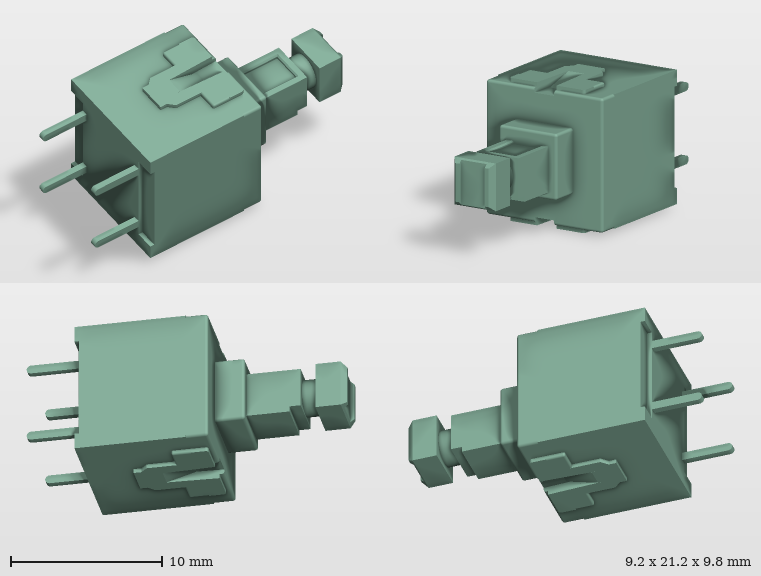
import cadquery as cq
import math


body_size = 9.2
body_half = body_size / 2
seam_y = 7.52
cover_front_y = 9.0
collar_front_y = 11.0
collar_size = 4.55
edge_radius = 0.2

recess_inner_x = 3.23
recess_height = 6.99
recess_depth = 0.32

latch_thickness = 0.3
latch_top_z = body_half + latch_thickness
latch_front_y = 8.69
arm_half_width = 2.97
tongue_half_width = 1.5
tip_half_width = 1.06
taper_start_y = 4.23
taper_end_y = taper_start_y - (tongue_half_width - tip_half_width)
tongue_end_y = 3.27
slot_front_half_width = 0.79
slot_end_half_width = 0.62
slot_end_y = 4.86
slot_depth = 0.64
slot_floor_z = latch_top_z - slot_depth

ramp_start_y = 7.35
ramp_end_y = 5.15
pad_end_y = 6.2
pad_radius = 0.13

shaft_width = 3.27
shaft_height = 2.76
shaft_front_y = 14.65
lug_bottom_z = -1.76
lug_front_y = 13.9
neck_diameter = 2.49
head_rear_y = 15.65
head_front_y = 17.74
bevel_length = 0.38
bevel_inset = 0.32
head_slot_width = 2.0
head_slot_depth = 0.25
pocket_width = 2.2
pocket_front_y = 14.15
pocket_depth = 0.25
pocket_chamfer = 0.1

pin_length = 3.5
pin_width = 0.45
pin_height = 0.6
pin_x = recess_inner_x - pin_width / 2
pin_z = 2.5


def block(x_range, y_range, z_range):
    """Box between the given limits along X, Y and Z."""
    low, high = zip(x_range, y_range, z_range)
    size = [b - a for a, b in zip(low, high)]
    return cq.Workplane("XY").box(*size, centered=False).translate(low)


def square_block(size, y_start, y_end):
    """Box with a square section, centred on the push axis."""
    half = size / 2
    return block((-half, half), (y_start, y_end), (-half, half))


def on_both_sides(top_shape):
    """The given shape together with its copy mirrored to the underside."""
    return [top_shape, top_shape.mirror("XY")]


def make_latch_slot():
    """Slot that narrows toward the pins, through a latch plate into the cover and base."""
    outline = [
        (slot_front_half_width, cover_front_y),
        (slot_end_half_width, slot_end_y),
        (-slot_end_half_width, slot_end_y),
        (-slot_front_half_width, cover_front_y),
    ]
    slot = cq.Workplane("XY").workplane(offset=slot_floor_z).polyline(outline).close()
    return slot.extrude(slot_depth)


def make_tooth():
    """Ramp that rises from the slot floor to the outer face of the latch plate."""
    profile = [
        (ramp_start_y, slot_floor_z),
        (ramp_end_y, latch_top_z),
        (slot_end_y, latch_top_z),
        (slot_end_y, slot_floor_z),
    ]
    tooth = cq.Workplane("YZ").polyline(profile).close()
    return tooth.extrude(slot_end_half_width, both=True)


def make_pad(side):
    """Raised pad behind a latch arm; side is -1 or 1 along X."""
    inner_x = side * tongue_half_width
    outer_x = side * arm_half_width
    x_range = sorted((inner_x, outer_x))
    pad = block(x_range, (pad_end_y, seam_y), (body_half, latch_top_z))
    outer_face = ">X" if side > 0 else "<X"
    outer_corner = pad.faces(outer_face).edges("<Y")
    exposed_top = pad.faces(">Z").edges(f"<Y or {outer_face}")
    return pad.newObject(outer_corner.vals() + exposed_top.vals()).fillet(pad_radius)


def make_base():
    base = square_block(body_size, 0, seam_y)
    half_recess = recess_height / 2
    for side in (-1, 1):
        x_range = sorted((side * recess_inner_x, side * body_half))
        base = base.cut(block(x_range, (0, recess_depth), (-half_recess, half_recess)))
    for slot in on_both_sides(make_latch_slot()):
        base = base.cut(slot)
    for tooth in on_both_sides(make_tooth()):
        base = base.union(tooth)
    for side in (-1, 1):
        for pad in on_both_sides(make_pad(side)):
            base = base.union(pad)
    return base


def make_latch_plate():
    """Flat T-shaped plate with a tongue that reaches back over the base."""
    right_side = [
        (arm_half_width, latch_front_y),
        (arm_half_width, seam_y),
        (tongue_half_width, seam_y),
        (tongue_half_width, taper_start_y),
        (tip_half_width, taper_end_y),
        (tip_half_width, tongue_end_y),
    ]
    left_side = [(-x, y) for x, y in reversed(right_side)]
    outline = cq.Workplane("XY").workplane(offset=body_half).polyline(right_side + left_side).close()
    plate = outline.extrude(latch_thickness)
    return plate.faces(">Y").edges("|Z").fillet(edge_radius)


def make_shaft(y_start):
    """Square part of the plunger with the lug underneath."""
    half_width = shaft_width / 2
    half_height = shaft_height / 2
    shaft = block((-half_width, half_width), (y_start, shaft_front_y), (-half_height, half_height))
    lug = block((-half_width, half_width), (y_start, lug_front_y), (lug_bottom_z, -half_height))
    return shaft.union(lug)


def make_cover():
    plate = square_block(body_size, seam_y, cover_front_y)
    plate = plate.edges("|Y or >Y").fillet(edge_radius)
    collar = square_block(collar_size, cover_front_y, collar_front_y)
    collar = collar.edges("|Y or >Y").fillet(edge_radius)
    cover = plate.union(collar)
    for latch in on_both_sides(make_latch_plate()):
        cover = cover.union(latch)
    for slot in on_both_sides(make_latch_slot()):
        cover = cover.cut(slot)
    return cover.cut(make_shaft(seam_y))


def make_head():
    """Button head with four bevelled sides and a slot across its front."""
    bevel_start_y = head_front_y - bevel_length
    head = square_block(shaft_width, head_rear_y, bevel_start_y)
    bevel_plane = cq.Plane(origin=(0, bevel_start_y, 0), xDir=(1, 0, 0), normal=(0, 1, 0))
    bevel_angle = math.degrees(math.atan2(bevel_inset, bevel_length))
    bevel = cq.Workplane(bevel_plane).rect(shaft_width, shaft_width).extrude(bevel_length, taper=bevel_angle)
    slot = block(
        (-head_slot_width / 2, head_slot_width / 2),
        (head_front_y - head_slot_depth, head_front_y),
        (-shaft_width / 2, shaft_width / 2),
    )
    return head.union(bevel).cut(slot)


def make_pocketed_shaft():
    """Shaft with a shallow chamfered pocket in its top, from the collar forward."""
    shaft = make_shaft(seam_y)
    top_z = shaft_height / 2
    half_width = pocket_width / 2
    pocket = block(
        (-half_width, half_width),
        (collar_front_y, pocket_front_y),
        (top_z - pocket_depth, top_z),
    )
    margin = pocket_chamfer
    rim = cq.selectors.BoxSelector(
        (-half_width - margin, collar_front_y + margin, top_z - margin),
        (half_width + margin, pocket_front_y + margin, top_z + margin),
    )
    return shaft.cut(pocket).faces(">Z").edges(rim).chamfer(pocket_chamfer)


def make_plunger():
    neck_plane = cq.Plane(origin=(0, shaft_front_y, 0), xDir=(1, 0, 0), normal=(0, 1, 0))
    neck = cq.Workplane(neck_plane).circle(neck_diameter / 2).extrude(head_rear_y - shaft_front_y)
    return make_pocketed_shaft().union(neck).union(make_head())


def make_pin(x, z):
    """Flat pin standing on the base's rear face, with a full round at its tip."""
    radius = pin_height / 2
    round_start_y = -pin_length + radius
    outline = (
        cq.Workplane("YZ")
        .moveTo(0, radius)
        .lineTo(round_start_y, radius)
        .threePointArc((-pin_length, 0), (round_start_y, -radius))
        .lineTo(0, -radius)
        .close()
    )
    return outline.extrude(pin_width / 2, both=True).translate((x, 0, z))


base = make_base()
cover = make_cover()
plunger = make_plunger()
pins = [make_pin(x, z) for x in (-pin_x, pin_x) for z in (-pin_z, pin_z)]

result = cq.Compound.makeCompound(
    [base.val(), cover.val(), plunger.val(), *[pin.val() for pin in pins]]
)